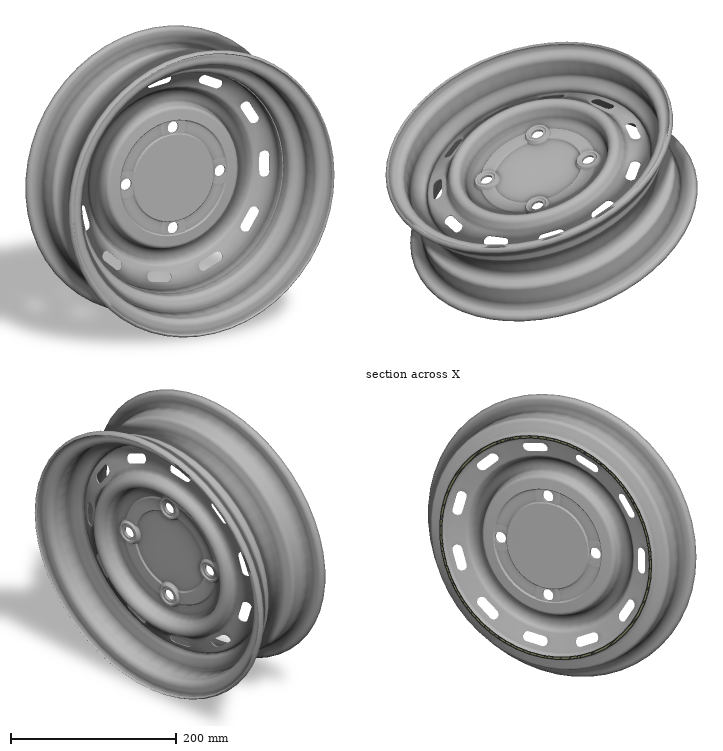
import cadquery as cq
import math

overall_width = 125.0
outer_radius = 180.0
rim_thickness = 2.5
curl_radius = 5.5
curl_end_angle = 30.0
flange_fillet = 5.5
bead_radius = 162.0
shoulder_radius = 160.5
shoulder_x = 22.0
shoulder_fillet = 5.8
drop_radius = 143.0
drop_half_width = 15.5
drop_fillet = 5.5

disc_thickness = 1.0
disc_radius = drop_radius - rim_thickness
disc_end_x = 0.5
disc_edge_x = -15.0
disc_edge_fillet = 6.0
cone_foot_x = -25.5
cone_foot_radius = 112.5
cone_foot_fillet = 4.5
crest_x = -52.0
crest_radius = 98.0
crest_fillet = 8.3
dish_x = -19.0
dish_radius = 88.0
dish_fillet = 4.3
hub_x = -17.5
pad_height = 1.8
pad_outer_radius = 73.5
pad_inner_radius = 54.0
pad_step_width = 1.8

slot_count = 11
slot_circle_radius = 125.0
slot_length = 33.0
slot_width = 12.0

bolt_count = 4
bolt_circle_radius = 63.7
bolt_hole_diameter = 14.8
boss_base_radius = 17.0
boss_top_radius = 13.5
boss_height = 3.0
seat_depth = 1.5
seat_top_radius = 11.5
seat_floor_radius = 10.5

end_angle = math.radians(curl_end_angle)
curl_x = overall_width / 2 - curl_radius * math.cos(end_angle)
curl_r = outer_radius - curl_radius
flange_x = curl_x - curl_radius
pad_x = hub_x - pad_height
boss_top_x = pad_x - boss_height
seat_floor_x = boss_top_x + seat_depth


def unit(start, end):
    """Unit vector from one profile point to another."""
    length = math.dist(start, end)
    return ((end[0] - start[0]) / length, (end[1] - start[1]) / length)


def offset_corners(corners, thickness):
    """Shift a path of (x, r, fillet) corners to its right, keeping the bends concentric."""
    points = [corner[:2] for corner in corners]
    directions = [unit(start, end) for start, end in zip(points, points[1:])]
    arriving = directions[:1] + directions
    leaving = directions + directions[-1:]
    shifted = []
    for (x, r, fillet), before, after in zip(corners, arriving, leaving):
        cos_turn = before[0] * after[0] + before[1] * after[1]
        left_turn = before[0] * after[1] - before[1] * after[0] > 0
        miter = thickness / (1 + cos_turn)
        bend = fillet + (thickness if left_turn else -thickness)
        shifted.append((
            x + miter * (before[1] + after[1]),
            r - miter * (before[0] + after[0]),
            bend if fillet else 0,
        ))
    return shifted


def draw_path(sketch, corners):
    """Continue a sketch through the corners, rounding each one by its fillet."""
    for i, corner in enumerate(corners):
        x, r, fillet = corner
        if not fillet:
            sketch = sketch.lineTo(x, r)
            continue
        back = unit(corner[:2], corners[i - 1][:2])
        ahead = unit(corner[:2], corners[i + 1][:2])
        half_angle = math.acos(back[0] * ahead[0] + back[1] * ahead[1]) / 2
        tangent = fillet / math.tan(half_angle)
        to_middle = fillet / math.sin(half_angle) - fillet
        middle = unit((0, 0), (back[0] + ahead[0], back[1] + ahead[1]))
        sketch = sketch.lineTo(x + tangent * back[0], r + tangent * back[1])
        sketch = sketch.threePointArc(
            (x + to_middle * middle[0], r + to_middle * middle[1]),
            (x + tangent * ahead[0], r + tangent * ahead[1]),
        )
    return sketch


def revolve_about_x(sketch):
    """Close an outline in the XY plane and turn it about the X axis."""
    return sketch.close().revolve(360, (0, 0, 0), (1, 0, 0))


def revolved_sheet(corners, thickness):
    """Turn a path of (x, r, fillet) corners into a sheet lying on its right-hand side."""
    inner = offset_corners(corners, thickness)
    sketch = cq.Workplane("XY").moveTo(*inner[0][:2])
    sketch = draw_path(sketch, corners)
    sketch = draw_path(sketch, inner[::-1])
    return revolve_about_x(sketch)


def rim():
    """Rim sheet from flange to flange, without the rolled lips."""
    half = [
        (-flange_x, curl_r, 0),
        (-flange_x, bead_radius, flange_fillet),
        (-shoulder_x, shoulder_radius, shoulder_fillet),
        (-drop_half_width, drop_radius, drop_fillet),
    ]
    other_half = [(-x, r, fillet) for x, r, fillet in reversed(half)]
    return revolved_sheet(half + other_half, rim_thickness)


def curled_lip():
    """Rolled edge on the +X flange."""
    def on_curl(radius, angle):
        return (curl_x + radius * math.cos(angle), curl_r + radius * math.sin(angle))

    inside = curl_radius - rim_thickness
    sketch = (
        cq.Workplane("XY")
        .moveTo(*on_curl(curl_radius, math.pi))
        .threePointArc(on_curl(curl_radius, math.pi / 2), on_curl(curl_radius, end_angle))
        .lineTo(*on_curl(inside, end_angle))
        .threePointArc(on_curl(inside, math.pi / 2), on_curl(inside, math.pi))
    )
    return revolve_about_x(sketch)


def disc():
    """Dished sheet from the closed hub out to the flange inside the drop centre."""
    return revolved_sheet([
        (hub_x, 0, 0),
        (hub_x, pad_inner_radius, 0),
        (pad_x, pad_inner_radius + pad_step_width, 0),
        (pad_x, pad_outer_radius - pad_step_width, 0),
        (hub_x, pad_outer_radius, 0),
        (dish_x, dish_radius, dish_fillet),
        (crest_x, crest_radius, crest_fillet),
        (cone_foot_x, cone_foot_radius, cone_foot_fillet),
        (disc_edge_x, disc_radius, disc_edge_fillet),
        (disc_end_x, disc_radius, 0),
    ], disc_thickness)


def slots():
    """Cutters for the tangential slots, one of them on the +Y axis."""
    return (
        cq.Workplane("YZ", origin=(crest_x, 0, 0))
        .polarArray(slot_circle_radius, 0, 360, slot_count)
        .slot2D(slot_length, slot_width, 90)
        .extrude(disc_end_x - crest_x)
    )


def cone_along_x(x, radius, end_x, end_radius):
    """Truncated cone on the X axis."""
    outline = [(x, 0), (x, radius), (end_x, end_radius), (end_x, 0)]
    return revolve_about_x(cq.Workplane("XY").polyline(outline))


def at_bolts(body):
    """Copies of a body on the X axis, moved to every bolt position."""
    copies = cq.Workplane("XY")
    for i in range(bolt_count):
        moved = body.translate((0, bolt_circle_radius, 0))
        copies = copies.add(moved.rotate((0, 0, 0), (1, 0, 0), i * 360 / bolt_count))
    return copies.combine()


def bolt_bosses():
    """Raised conical bosses, solid down to the hub sheet."""
    return at_bolts(cone_along_x(boss_top_x, boss_top_radius, hub_x, boss_base_radius))


def bolt_openings():
    """Cutters for the shallow tapered seats and the through holes."""
    seat = cone_along_x(boss_top_x, seat_top_radius, seat_floor_x, seat_floor_radius)
    hole = (
        cq.Workplane("YZ", origin=(boss_top_x, 0, 0))
        .circle(bolt_hole_diameter / 2)
        .extrude(-boss_top_x)
    )
    return at_bolts(seat.union(hole))


lip = curled_lip()
wheel_disc = disc().cut(slots()).union(bolt_bosses()).cut(bolt_openings())
result = rim().union(lip).union(lip.mirror("YZ")).union(wheel_disc)